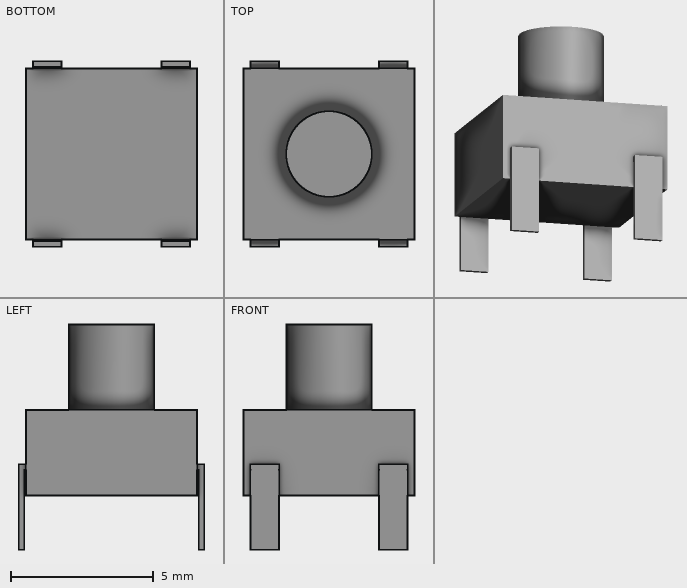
import cadquery as cq

body_width = 6.0
body_height = 3.0

button_diameter = 3.0
button_height = 3.0

leg_width = 1.0
leg_thickness = 0.2
leg_length = 3.0
leg_bottom_z = -1.9
leg_spacing = 4.5
span_over_legs = 6.5
leg_top_z = leg_bottom_z + leg_length


def make_body():
    return cq.Workplane("XY").box(body_width, body_width, body_height, centered=(True, True, False))


def make_button():
    return cq.Workplane("XY", origin=(0, 0, body_height)).circle(button_diameter / 2).extrude(button_height)


def make_leg(x_center, y_side):
    """L-shaped leg: a tab reaching out from the housing wall, bent straight down."""
    wall_y = y_side * body_width / 2
    outer_y = y_side * span_over_legs / 2
    inner_y = outer_y - y_side * leg_thickness
    tab_bottom_z = leg_top_z - leg_thickness
    profile = [
        (wall_y, leg_top_z),
        (outer_y, leg_top_z),
        (outer_y, leg_bottom_z),
        (inner_y, leg_bottom_z),
        (inner_y, tab_bottom_z),
        (wall_y, tab_bottom_z),
    ]
    leg_start = (x_center - leg_width / 2, 0, 0)
    return cq.Workplane("YZ", origin=leg_start).polyline(profile).close().extrude(leg_width)


result = make_body().union(make_button())
for x_center in (-leg_spacing / 2, leg_spacing / 2):
    for y_side in (-1, 1):
        result = result.union(make_leg(x_center, y_side))